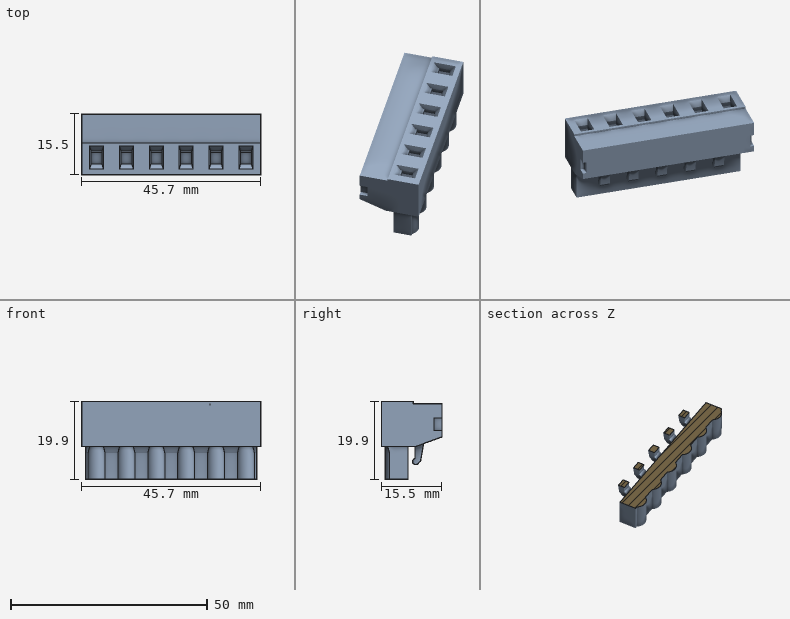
import cadquery as cq
import math


pole_count = 6
pitch = 7.62
depth = 15.5
height = 19.85

length = pole_count * pitch
housing_bottom = 8.35
top_step_drop = 0.55
rear_top = height - top_step_drop
step_y = 8.13
slope_start_y = 8.7
slope_end_z = 10.8

plug_end_inset = 1.0
plug_front_y = 2.1
plug_rear_y = 6.85
plug_bevel_height = 1.65
plug_bevel_depth = 0.5
lobe_radius = 2.6
lobe_front_y = 0.94

entry_width = 3.55
entry_front_y = 1.45
entry_rear_y = 7.3
throat_width = 2.8
throat_front_y = 2.7
ledge_rear_y = 6.1
throat_rear_y = 5.7
funnel_depth = 1.3
throat_depth = 1.1

notch_depth = 1.0
notch_front_y = 13.4
notch_bottom = 12.45
notch_top = 15.65

latch_width = 2.5
latch_inner_y = 8.55
latch_root_y = 10.8
latch_knee_y = 10.04
tip_radius = 0.8
tip_y = 8.74
tip_z = 4.53

overlap = 0.2


def pole_positions():
    return [(pole + 0.5) * pitch for pole in range(pole_count)]


def side_profile(points, start_x, width):
    """Extrude a closed (y, z) outline along +X from start_x."""
    return cq.Workplane("YZ").workplane(offset=start_x).polyline(points).close().extrude(width)


def make_housing():
    outline = [
        (0, housing_bottom),
        (slope_start_y, housing_bottom),
        (depth, slope_end_z),
        (depth, rear_top),
        (step_y, rear_top),
        (step_y, height),
        (0, height),
    ]
    return side_profile(outline, 0, length)


def make_plug():
    bevel_front_y = plug_front_y - plug_bevel_depth
    outline = [
        (plug_rear_y, 0),
        (plug_front_y, 0),
        (plug_front_y, housing_bottom - plug_bevel_height),
        (bevel_front_y, housing_bottom),
        (plug_rear_y, housing_bottom),
    ]
    plug = side_profile(outline, plug_end_inset, length - 2 * plug_end_inset)
    lobe_centres = [(x, lobe_front_y + lobe_radius) for x in pole_positions()]
    lobes = cq.Workplane("XY").pushPoints(lobe_centres).circle(lobe_radius).extrude(housing_bottom)
    return plug.union(lobes)


def make_wire_entry(x):
    """Tapered funnel, then a straight throat that leaves a narrow ledge at the rear."""
    entry_length = entry_rear_y - entry_front_y
    entry_mid_y = (entry_rear_y + entry_front_y) / 2
    funnel_end_mid_y = (ledge_rear_y + throat_front_y) / 2
    funnel = (
        cq.Workplane("XY", origin=(x, entry_mid_y, height))
        .rect(entry_width, entry_length)
        .workplane(offset=-funnel_depth)
        .center(0, funnel_end_mid_y - entry_mid_y)
        .rect(throat_width, ledge_rear_y - throat_front_y)
        .loft(ruled=True)
    )
    throat = (
        cq.Workplane("XY", origin=(x, (throat_rear_y + throat_front_y) / 2, height - funnel_depth))
        .rect(throat_width, throat_rear_y - throat_front_y)
        .extrude(-throat_depth)
    )
    return funnel.union(throat)


def make_grip_notch(start_x):
    return cq.Workplane("XY", origin=(start_x, notch_front_y, notch_bottom)).box(
        notch_depth, depth - notch_front_y, notch_top - notch_bottom, centered=False
    )


def make_latch(x):
    """Tapered arm ending in a round hook that points towards the plug."""
    slope = (slope_end_z - housing_bottom) / (depth - slope_start_y)
    root_z = housing_bottom + slope * (latch_root_y - slope_start_y)
    tangent_offset = tip_radius * math.sqrt(0.5)
    tangent_y = tip_y + tangent_offset
    tangent_z = tip_z - tangent_offset
    knee_z = tangent_z + (latch_knee_y - tangent_y)
    arm_outline = [
        (latch_inner_y, housing_bottom + overlap),
        (latch_inner_y, tip_z),
        (tip_y, tip_z),
        (tangent_y, tangent_z),
        (latch_knee_y, knee_z),
        (latch_root_y, root_z),
        (latch_root_y, root_z + overlap),
    ]
    start_x = x - latch_width / 2
    arm = side_profile(arm_outline, start_x, latch_width)
    tip = cq.Workplane("YZ", origin=(start_x, tip_y, tip_z)).circle(tip_radius).extrude(latch_width)
    return arm.union(tip)


result = make_housing().union(make_plug())
for pole_x in pole_positions():
    result = result.cut(make_wire_entry(pole_x))
for gap in range(1, pole_count):
    result = result.union(make_latch(gap * pitch))
for notch_start_x in (0, length - notch_depth):
    result = result.cut(make_grip_notch(notch_start_x))